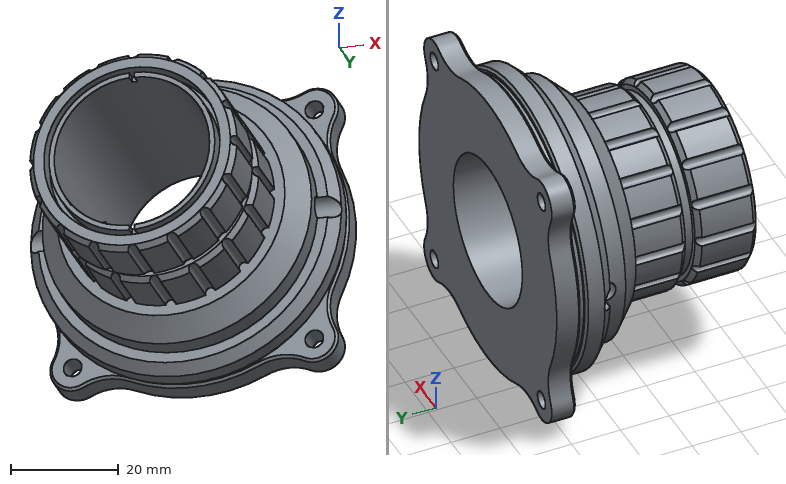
import math

import cadquery as cq


flange_depth = 5.0
neck_depth = 6.0
collar_depth = 11.9
shoulder_depth = 16.0
cone_depth = 20.0
barrel_groove_start = 31.5
barrel_groove_end = 33.5
total_depth = 46.0

collar_radius = 30.0
neck_radius = 29.0
shoulder_radius = 26.0
cone_end_radius = 22.0
barrel_radius = 20.0
barrel_groove_radius = 18.0
bore_radius = 15.0

flange_chamfer = 0.5
collar_back_chamfer = 0.5
collar_front_chamfer = 2.0
barrel_chamfer = 1.0

ear_circle_radius = 33.0
ear_offset = ear_circle_radius / math.sqrt(2)
ear_radius = 4.5
ear_blend_radius = 10.0
ear_hole_diameter = 3.5

grip_groove_count = 16
grip_groove_radius = 1.0

cross_hole_diameter = 4.2

face_groove_inner_radius = 16.0
face_groove_outer_radius = 17.0
face_groove_depth = 4.0
notch_width = 1.0
notch_depth = 2.0


def disc(radius, start_depth, end_depth):
    """Cylinder around the part axis between two depths."""
    return (
        cq.Workplane("XZ", origin=(0, -start_depth, 0))
        .circle(radius)
        .extrude(end_depth - start_depth)
    )


def ear_web():
    """One ear toward +X +Z, blended into the flange disc by two concave arcs."""
    blend_distance = collar_radius + ear_blend_radius
    ear_to_blend = ear_radius + ear_blend_radius
    squares = ear_circle_radius**2 + blend_distance**2 - ear_to_blend**2
    cosine = squares / (2 * ear_circle_radius * blend_distance)
    diagonal = math.pi / 4
    blend_angle = diagonal + math.acos(cosine)
    blend_x = blend_distance * math.cos(blend_angle)
    blend_z = blend_distance * math.sin(blend_angle)

    disc_share = collar_radius / blend_distance
    disc_x = blend_x * disc_share
    disc_z = blend_z * disc_share
    ear_share = ear_radius / ear_to_blend
    ear_x = ear_offset + (blend_x - ear_offset) * ear_share
    ear_z = ear_offset + (blend_z - ear_offset) * ear_share

    chord_x = (disc_x + ear_x) / 2 - blend_x
    chord_z = (disc_z + ear_z) / 2 - blend_z
    reach = ear_blend_radius / math.hypot(chord_x, chord_z)
    mid_x = blend_x + chord_x * reach
    mid_z = blend_z + chord_z * reach
    tip = ear_offset + ear_radius * math.cos(diagonal)

    return (
        cq.Workplane("XZ")
        .moveTo(0, 0)
        .lineTo(disc_x, disc_z)
        .threePointArc((mid_x, mid_z), (ear_x, ear_z))
        .threePointArc((tip, tip), (ear_z, ear_x))
        .threePointArc((mid_z, mid_x), (disc_z, disc_x))
        .close()
        .extrude(flange_depth)
    )


def flange():
    """Round flange with four ears, chamfered on the barrel side."""
    plate = disc(collar_radius, 0, flange_depth)
    web = ear_web()
    for quarter in range(4):
        plate = plate.union(web.rotate((0, 0, 0), (0, 1, 0), 90 * quarter))
    plate = plate.faces("<Y").chamfer(flange_chamfer)
    hole_span = 2 * ear_offset
    holes = (
        cq.Workplane("XZ")
        .rect(hole_span, hole_span, forConstruction=True)
        .vertices()
        .circle(ear_hole_diameter / 2)
        .extrude(flange_depth)
    )
    return plate.cut(holes)


def turned_body():
    """Neck, collar, shoulder, cone and barrel revolved as one solid."""
    barrel_edge_radius = barrel_radius - barrel_chamfer
    profile = [
        (0, 0),
        (neck_radius, 0),
        (neck_radius, neck_depth),
        (collar_radius - collar_back_chamfer, neck_depth),
        (collar_radius, neck_depth + collar_back_chamfer),
        (collar_radius, collar_depth - collar_front_chamfer),
        (collar_radius - collar_front_chamfer, collar_depth),
        (shoulder_radius, collar_depth),
        (shoulder_radius, shoulder_depth),
        (cone_end_radius, cone_depth),
        (barrel_radius, cone_depth),
        (barrel_radius, barrel_groove_start - barrel_chamfer),
        (barrel_edge_radius, barrel_groove_start),
        (barrel_groove_radius, barrel_groove_start),
        (barrel_groove_radius, barrel_groove_end),
        (barrel_edge_radius, barrel_groove_end),
        (barrel_radius, barrel_groove_end + barrel_chamfer),
        (barrel_radius, total_depth - barrel_chamfer),
        (barrel_edge_radius, total_depth),
        (0, total_depth),
    ]
    outline = [(radius, -depth) for radius, depth in profile]
    return cq.Workplane("XY").polyline(outline).close().revolve(360, (0, 0, 0), (0, 1, 0))


def grip_grooves():
    """Round-bottomed grooves spaced evenly around the barrel."""
    return (
        cq.Workplane("XZ", origin=(0, -cone_depth, 0))
        .polarArray(barrel_radius, 0, 360, grip_groove_count)
        .circle(grip_groove_radius)
        .extrude(total_depth - cone_depth)
    )


def cross_hole():
    """Hole along X whose axis lies on the front face of the collar."""
    return (
        cq.Workplane("YZ", origin=(0, -collar_depth, 0))
        .circle(cross_hole_diameter / 2)
        .extrude(collar_radius, both=True)
    )


def face_groove():
    """Annular groove in the end face of the barrel."""
    start_depth = total_depth - face_groove_depth
    outer = disc(face_groove_outer_radius, start_depth, total_depth)
    return outer.cut(disc(face_groove_inner_radius, start_depth, total_depth))


def notches():
    """Square-ended notches through the top and bottom of the groove's inner wall."""
    notch_span = 2 * face_groove_inner_radius
    notch = cq.Workplane("XY").box(notch_width, notch_depth, notch_span)
    return notch.translate((0, notch_depth / 2 - total_depth, 0))


result = (
    turned_body()
    .union(flange())
    .cut(disc(bore_radius, 0, total_depth))
    .cut(grip_grooves())
    .cut(cross_hole())
    .cut(face_groove())
    .cut(notches())
)